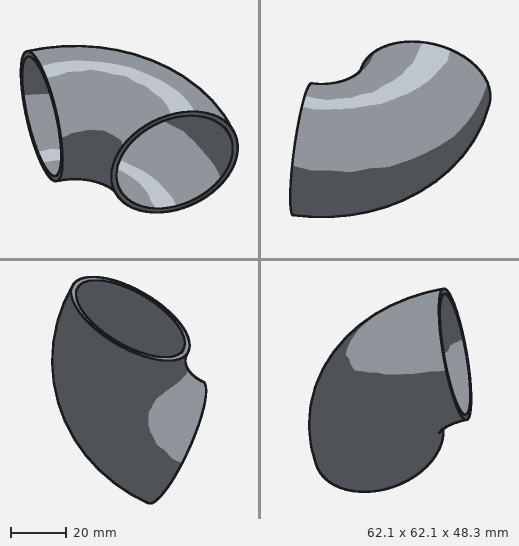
import cadquery as cq

overall_length = 62.15
pipe_diameter = 48.3
wall_thickness = 2.0
bend_angle = 90.0

outer_radius = pipe_diameter / 2
bore_radius = outer_radius - wall_thickness
bend_radius = overall_length - outer_radius


def pipe_elbow():
    """Sweep the ring-shaped pipe section around the vertical bend axis at the origin.

    The section starts on the -X side, in the open end facing -Y,
    and turns towards +Y to finish in the open end facing +X.
    """
    section = (
        cq.Workplane("XZ")
        .center(-bend_radius, 0)
        .circle(outer_radius)
        .circle(bore_radius)
    )
    axis_start = (bend_radius, 0)
    axis_end = (bend_radius, -1)
    return section.revolve(bend_angle, axis_start, axis_end)


result = pipe_elbow()